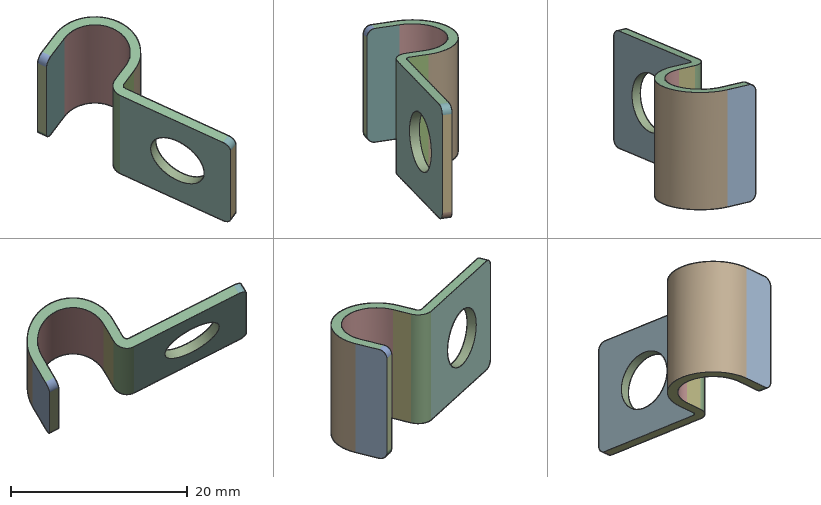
import cadquery as cq

length = 25.4
width = 14.0
thickness = 1.2
loop_inner_diameter = 8.0
loop_top = 9.2
bend_inner_radius = 0.5
corner_radius = 1.0
hole_diameter = 7.0
hole_end_distance = 7.0

loop_outer_radius = loop_inner_diameter / 2 + thickness
loop_diameter = 2 * loop_outer_radius
loop_center_y = loop_top - loop_outer_radius
bend_outer_radius = bend_inner_radius + thickness
bend_left = loop_diameter - thickness
bend_end = bend_left + bend_outer_radius


def clip_strip():
    """Bent strip: free leg, half-round loop, bend and flat mounting tab."""
    return (
        cq.Workplane("XY")
        .moveTo(0, 0)
        .lineTo(0, loop_center_y)
        .threePointArc((loop_outer_radius, loop_top), (loop_diameter, loop_center_y))
        .lineTo(loop_diameter, bend_outer_radius)
        .radiusArc((bend_end, thickness), -bend_inner_radius)
        .lineTo(length, thickness)
        .lineTo(length, 0)
        .lineTo(bend_end, 0)
        .radiusArc((bend_left, bend_outer_radius), bend_outer_radius)
        .lineTo(bend_left, loop_center_y)
        .threePointArc(
            (loop_outer_radius, loop_top - thickness), (thickness, loop_center_y)
        )
        .lineTo(thickness, 0)
        .close()
        .extrude(width)
    )


def mounting_hole():
    """Through-hole cutter centred across the tab width."""
    return (
        cq.Workplane("XZ")
        .center(length - hole_end_distance, width / 2)
        .circle(hole_diameter / 2)
        .extrude(-thickness)
    )


strip = clip_strip()
strip = strip.faces(">X").edges("|Y").fillet(corner_radius)
strip = strip.edges("|X").edges("<X").fillet(corner_radius)

result = strip.cut(mounting_hole())